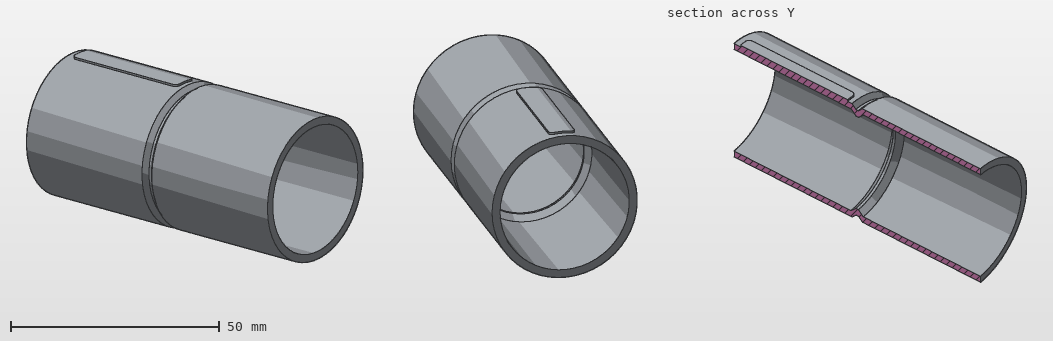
import cadquery as cq

length = 75.0
outer_diameter = 36.0
socket_diameter = 32.0
middle = length / 2

groove_diameter = 33.5
groove_top_width = 3.1
groove_bottom_width = 0.75

rib_diameter = 29.0
rib_crest_width = 0.75
rib_height = (socket_diameter - rib_diameter) / 2
rib_base_width = rib_crest_width + 2 * rib_height

plate_start = 2.0
plate_length = 32.6
plate_width = 6.4
plate_height = 0.5
plate_corner_radius = 1.2


def make_body():
    """Grooved outside, and two sockets that meet at the stop rib."""
    outer_radius = outer_diameter / 2
    groove_radius = groove_diameter / 2
    socket_radius = socket_diameter / 2
    rib_radius = rib_diameter / 2
    wall_profile = (
        cq.Workplane("XY")
        .moveTo(0, socket_radius)
        .lineTo(0, outer_radius)
        .lineTo(middle - groove_top_width / 2, outer_radius)
        .lineTo(middle - groove_bottom_width / 2, groove_radius)
        .lineTo(middle + groove_bottom_width / 2, groove_radius)
        .lineTo(middle + groove_top_width / 2, outer_radius)
        .lineTo(length, outer_radius)
        .lineTo(length, socket_radius)
        .lineTo(middle + rib_base_width / 2, socket_radius)
        .lineTo(middle + rib_crest_width / 2, rib_radius)
        .lineTo(middle - rib_crest_width / 2, rib_radius)
        .lineTo(middle - rib_base_width / 2, socket_radius)
        .close()
    )
    return wall_profile.revolve(360, (0, 0, 0), (1, 0, 0))


def make_plate():
    """Rounded rectangle cut out of a thin sleeve around the tube."""
    wall_middle_radius = (outer_diameter + socket_diameter) / 4
    plate_radius = outer_diameter / 2 + plate_height
    sleeve = (
        cq.Workplane("YZ")
        .circle(plate_radius)
        .circle(wall_middle_radius)
        .extrude(length)
    )
    outline = (
        cq.Workplane("XY")
        .center(plate_start + plate_length / 2, 0)
        .rect(plate_length, plate_width)
        .extrude(outer_diameter)
        .edges("|Z")
        .fillet(plate_corner_radius)
    )
    return sleeve.intersect(outline)


result = make_body().union(make_plate())